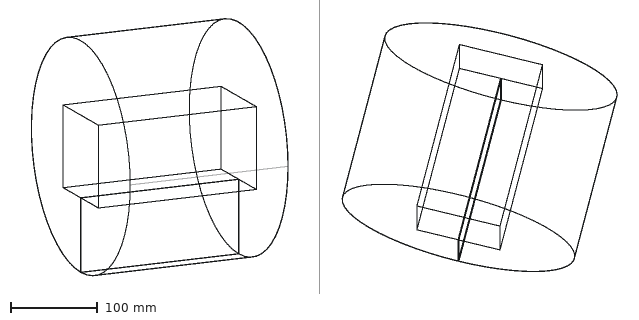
import cadquery as cq

outer_diameter = 277.0
length = 200.0
bore_side = 99.0
slit_width = 1.0

body = cq.Workplane("XZ").circle(outer_diameter / 2).extrude(length).translate((0, length / 2, 0))

bore = cq.Workplane("XY").box(bore_side, length, bore_side)

slit_depth = outer_diameter / 2
slit = cq.Workplane("XY").box(slit_width, length, slit_depth).translate((0, 0, -slit_depth / 2))

result = body.cut(bore).cut(slit)